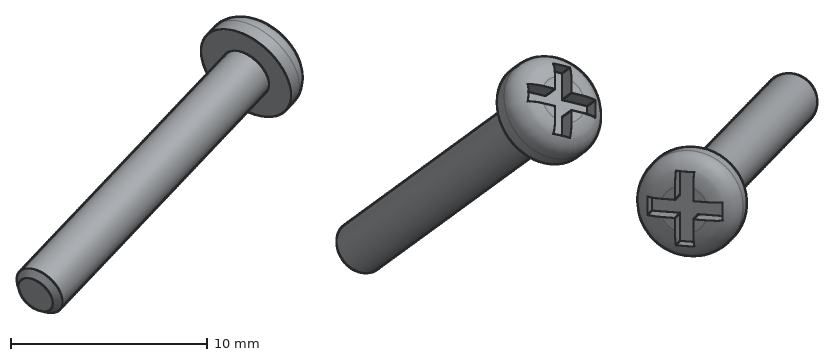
import cadquery as cq

total_length = 21.03
head_diameter = 5.57
head_height = 1.98
rim_height = 0.75
crown_flat_diameter = 2.52
shank_diameter = 2.84
tip_chamfer = 0.35
recess_width = 0.97
recess_span = 3.95
recess_depth = 0.99

head_radius = head_diameter / 2
crown_flat_radius = crown_flat_diameter / 2
shank_length = total_length - head_height
rim_top = shank_length + rim_height


def make_shank():
    """Plain cylinder from the origin along +Y with a chamfered tip."""
    shank = cq.Workplane("XZ").circle(shank_diameter / 2).extrude(-shank_length)
    return shank.faces("<Y").chamfer(tip_chamfer)


def make_head():
    """Cylindrical rim under a crown rounded by a quarter ellipse."""
    crown_width = head_radius - crown_flat_radius
    crown_height = total_length - rim_top
    profile = (
        cq.Workplane("XY")
        .moveTo(0, shank_length)
        .lineTo(head_radius, shank_length)
        .lineTo(head_radius, rim_top)
        .ellipseArc(crown_width, crown_height, 0, 90, startAtCurrent=True)
        .lineTo(0, total_length)
        .close()
    )
    return profile.revolve(360, (0, 0, 0), (0, 1, 0))


def make_cross_recess():
    """Two crossed bars sunk into the crown."""
    recess_floor = cq.Workplane("XZ", origin=(0, total_length - recess_depth, 0))
    bar = recess_floor.rect(recess_span, recess_width).extrude(-recess_depth)
    return bar.union(bar.rotate((0, 0, 0), (0, 1, 0), 90))


result = make_shank().union(make_head()).cut(make_cross_recess())